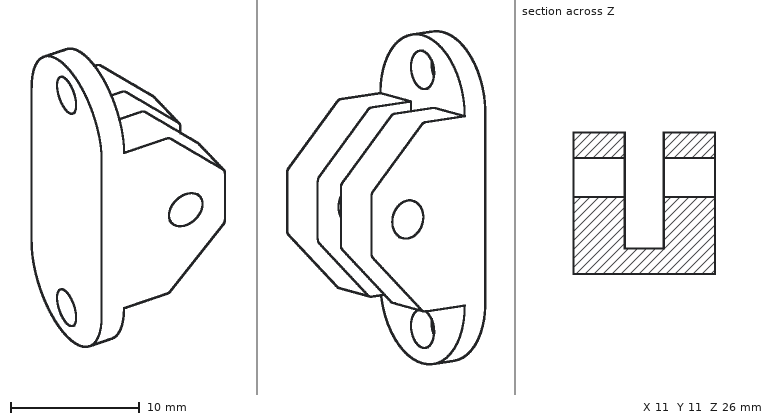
import cadquery as cq

plate_width = 11.0
plate_height = 26.0
plate_thickness = 2.0
mount_hole_diameter = 3.0
mount_hole_spacing = 20.5

clevis_depth = 11.0
clevis_height = plate_height - plate_width
slot_width = 3.0
corner_cut = 5.0
corner_radius = 0.5
pin_hole_diameter = 3.0
pin_hole_y = 7.5


def make_plate():
    """Obround plate with its outer face at Y = 0."""
    return (
        cq.Workplane("XZ")
        .slot2D(plate_height, plate_width, 90)
        .extrude(-plate_thickness)
    )


def make_clevis():
    """Full-width block with cut, rounded corners, slotted to leave two lugs."""
    half_height = clevis_height / 2
    tip_half_height = half_height - corner_cut
    shoulder_y = clevis_depth - corner_cut

    block = (
        cq.Workplane("YZ")
        .moveTo(0, -half_height)
        .lineTo(shoulder_y, -half_height)
        .lineTo(clevis_depth, -tip_half_height)
        .lineTo(clevis_depth, tip_half_height)
        .lineTo(shoulder_y, half_height)
        .lineTo(0, half_height)
        .close()
        .extrude(plate_width / 2, both=True)
    )
    block = block.edges("|X").edges(cq.selectors.BoxSelector(
        (-plate_width, plate_thickness, -clevis_height),
        (plate_width, clevis_depth + corner_radius, clevis_height),
    )).fillet(corner_radius)

    slot_depth = clevis_depth - plate_thickness
    slot = cq.Workplane("XY").box(
        slot_width, slot_depth, clevis_height, centered=(True, False, True)
    ).translate((0, plate_thickness, 0))
    return block.cut(slot)


def make_mount_holes():
    """Cutters for the two screw holes through the plate along Y."""
    return (
        cq.Workplane("XZ")
        .pushPoints([(0, -mount_hole_spacing / 2), (0, mount_hole_spacing / 2)])
        .circle(mount_hole_diameter / 2)
        .extrude(-plate_thickness)
    )


def make_pin_hole():
    """Cutter for the hinge pin hole through both lugs along X."""
    return (
        cq.Workplane("YZ")
        .center(pin_hole_y, 0)
        .circle(pin_hole_diameter / 2)
        .extrude(plate_width / 2, both=True)
    )


result = make_plate().union(make_clevis()).cut(make_mount_holes()).cut(make_pin_hole())